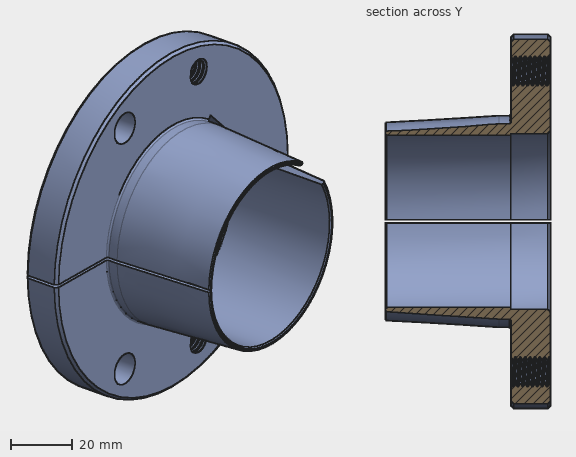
import cadquery as cq
import math

flange_diameter = 122.2
flange_radius = flange_diameter / 2
flange_thickness = 13.0
flange_chamfer = 1.0

overall_length = 54.0
hub_radius = 34.6
hub_taper_start = 17.0
hub_end_radius = 32.4
hub_end_chamfer = 0.4
hub_root_fillet = 0.6

bore_radius = 31.0
front_bore_radius = 31.5
front_bore_depth = flange_thickness
bore_chamfer = 1.0
bore_end_chamfer = 0.5

keyway_width = 16.0
keyway_floor_radius = 35.7
keyway_angle = 45.0

slit_width = 1.0

bolt_circle_radius = 50.8
clearance_hole_diameter = 10.8
clearance_hole_angles = (0.0, 120.0, 240.0)

jack_hole_angles = (75.0, -75.0)
thread_major_diameter = 9.525
thread_pitch = 25.4 / 16
thread_minor_diameter = 8.1
thread_root_width = thread_pitch / 8
thread_flank_angle = 30.0
thread_overlap = 0.05
thread_overrun = 2 * thread_pitch


def make_body():
    """Revolve the outer outline of the flange and hub about the X axis."""
    fillet_shrink = hub_root_fillet * (1 - math.sqrt(0.5))
    hub_end_face_radius = hub_end_radius - hub_end_chamfer
    outline = (
        cq.Workplane("XY")
        .moveTo(0, 0)
        .lineTo(0, flange_radius - flange_chamfer)
        .lineTo(flange_chamfer, flange_radius)
        .lineTo(flange_thickness - flange_chamfer, flange_radius)
        .lineTo(flange_thickness, flange_radius - flange_chamfer)
        .lineTo(flange_thickness, hub_radius + hub_root_fillet)
        .threePointArc(
            (flange_thickness + fillet_shrink, hub_radius + fillet_shrink),
            (flange_thickness + hub_root_fillet, hub_radius),
        )
        .lineTo(hub_taper_start, hub_radius)
        .lineTo(overall_length - hub_end_chamfer, hub_end_radius)
        .lineTo(overall_length, hub_end_face_radius)
        .lineTo(overall_length, 0)
        .close()
    )
    return outline.revolve(360, (0, 0, 0), (1, 0, 0))


def make_bore():
    """Revolve the stepped bore with chamfers at both mouths."""
    outline = (
        cq.Workplane("XY")
        .moveTo(0, 0)
        .lineTo(0, front_bore_radius + bore_chamfer)
        .lineTo(bore_chamfer, front_bore_radius)
        .lineTo(front_bore_depth, front_bore_radius)
        .lineTo(front_bore_depth, bore_radius)
        .lineTo(overall_length - bore_end_chamfer, bore_radius)
        .lineTo(overall_length, bore_radius + bore_end_chamfer)
        .lineTo(overall_length, 0)
        .close()
    )
    return outline.revolve(360, (0, 0, 0), (1, 0, 0))


def make_keyway():
    """Bar from the axis out to the keyway floor, turned to the keyway angle."""
    bar = cq.Workplane("XY").box(
        overall_length, keyway_floor_radius, keyway_width, centered=(False, False, True)
    )
    return bar.rotate((0, 0, 0), (1, 0, 0), keyway_angle)


def make_slit():
    """Thin plate that splits the -Y side from the bore to the rim."""
    plate = cq.Workplane("XY").box(
        overall_length, flange_radius, slit_width, centered=(False, False, True)
    )
    return plate.translate((0, -flange_radius, 0))


def bolt_circle_point(angle):
    """(Y, Z) of a hole center on the bolt circle."""
    y = bolt_circle_radius * math.cos(math.radians(angle))
    z = bolt_circle_radius * math.sin(math.radians(angle))
    return (y, z)


def make_flange_holes(diameter, angles):
    """Through holes in the flange at the given angles on the bolt circle."""
    centers = [bolt_circle_point(angle) for angle in angles]
    return cq.Workplane("YZ").pushPoints(centers).circle(diameter / 2).extrude(flange_thickness)


def make_thread_groove():
    """Right-hand helical groove about the Z axis, overrunning the flange at both ends.

    At Z = 0 the groove is centered on the +X direction.
    """
    minor_radius = thread_minor_diameter / 2
    major_radius = thread_major_diameter / 2
    inner_radius = minor_radius - thread_overlap
    flank_spread = (major_radius - inner_radius) * math.tan(math.radians(thread_flank_angle))
    root_half_width = thread_root_width / 2
    mouth_half_width = root_half_width + flank_spread
    helix = cq.Wire.makeHelix(thread_pitch, flange_thickness + 2 * thread_overrun, minor_radius)
    section = [
        (inner_radius, -mouth_half_width),
        (major_radius, -root_half_width),
        (major_radius, root_half_width),
        (inner_radius, mouth_half_width),
    ]
    profile = cq.Workplane("XZ").polyline(section).close()
    groove = profile.sweep(cq.Workplane(obj=helix), isFrenet=True)
    return groove.translate((0, 0, -thread_overrun))


def make_jack_holes():
    """Threaded holes through the flange, each thread starting toward +Y at the front face."""
    core = cq.Workplane("XY").circle(thread_minor_diameter / 2).extrude(flange_thickness)
    stock = cq.Workplane("XY").circle(thread_major_diameter).extrude(flange_thickness)
    tapped_hole = core.union(make_thread_groove().intersect(stock)).val()
    along_x = cq.Location(cq.Plane(origin=(0, 0, 0), xDir=(0, 1, 0), normal=(1, 0, 0)))
    holes = cq.Workplane("XY")
    for angle in jack_hole_angles:
        y, z = bolt_circle_point(angle)
        holes = holes.add(tapped_hole.moved(along_x).moved(cq.Location(cq.Vector(0, y, z))))
    return holes.combine()


result = (
    make_body()
    .cut(make_bore())
    .cut(make_keyway())
    .cut(make_slit())
    .cut(make_flange_holes(clearance_hole_diameter, clearance_hole_angles))
    .cut(make_jack_holes())
)